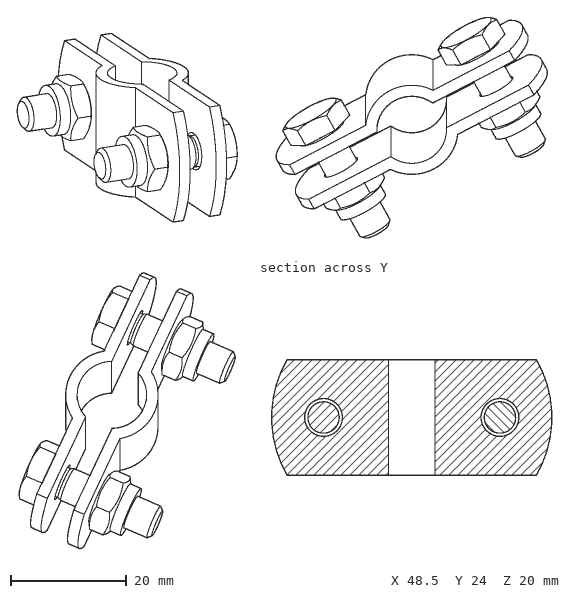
import cadquery as cq
import math


clamp_length = 48.5
clamp_height = 20.0
sheet_thickness = 2.0
bore_radius = 6.0
end_radius = 20.0
gap = 5.0
bolt_hole_diameter = 6.5
bolt_spacing = 30.5

flange_inner = gap / 2
flange_outer = flange_inner + sheet_thickness
saddle_radius = bore_radius + sheet_thickness

hex_across_flats = 10.0
hex_corner_radius = hex_across_flats / math.sqrt(3)
chamfer_slope = math.tan(math.radians(30))
chamfer_blank_radius = hex_corner_radius + 1.0

thread_diameter = 6.0
bolt_length = 20.0
head_height = 4.0
washer_face_height = 0.5
washer_face_diameter = 8.7
head_top_diameter = 9.9
neck_diameter = 5.46
neck_length = 2.4
neck_taper_end = 3.0
tip_chamfer = 0.65

nut_height = 6.0
nut_hex_height = 4.0
nut_seat_diameter = 8.9
collar_diameter = 8.9


def turned(profile):
    """Solid of revolution about Z from a closed (radius, height) profile."""
    return cq.Workplane("XZ").polyline(profile).close().revolve(360, (0, 0), (0, 1))


def hexagon(height, flat_diameter):
    """Hexagon on Z = 0 with corners on the X axis; the top is chamfered down from a flat circle."""
    flat_radius = flat_diameter / 2
    cone_height = height - (chamfer_blank_radius - flat_radius) * chamfer_slope
    prism = cq.Workplane("XY").polygon(6, 2 * hex_corner_radius).extrude(height)
    blank = turned([
        (0, 0),
        (chamfer_blank_radius, 0),
        (chamfer_blank_radius, cone_height),
        (flat_radius, height),
        (0, height),
    ])
    return prism.intersect(blank)


def make_clamp_half():
    """Half on the +Y side: two flat flanges joined by a half-round saddle."""
    half_length = clamp_length / 2
    saddle_edge = math.sqrt(saddle_radius**2 - flange_outer**2)
    bore_edge = math.sqrt(bore_radius**2 - flange_inner**2)
    strip = (
        cq.Workplane("XY")
        .workplane(offset=-clamp_height / 2)
        .moveTo(-half_length, flange_inner)
        .lineTo(-bore_edge, flange_inner)
        .threePointArc((0, bore_radius), (bore_edge, flange_inner))
        .lineTo(half_length, flange_inner)
        .lineTo(half_length, flange_outer)
        .lineTo(saddle_edge, flange_outer)
        .threePointArc((0, saddle_radius), (-saddle_edge, flange_outer))
        .lineTo(-half_length, flange_outer)
        .close()
        .extrude(clamp_height)
    )

    half_height = clamp_height / 2
    shoulder = half_length - end_radius + math.sqrt(end_radius**2 - half_height**2)
    rounded_outline = (
        cq.Workplane("XZ")
        .moveTo(-shoulder, -half_height)
        .lineTo(shoulder, -half_height)
        .threePointArc((half_length, 0), (shoulder, half_height))
        .lineTo(-shoulder, half_height)
        .threePointArc((-half_length, 0), (-shoulder, -half_height))
        .close()
        .extrude(-saddle_radius)
    )
    bolt_holes = (
        cq.Workplane("XZ")
        .pushPoints([(-bolt_spacing / 2, 0), (bolt_spacing / 2, 0)])
        .circle(bolt_hole_diameter / 2)
        .extrude(-saddle_radius)
    )
    return strip.intersect(rounded_outline).cut(bolt_holes)


def make_bolt():
    """Bolt along Z with the seat under its head at Z = 0 and its tip at -bolt_length."""
    thread_radius = thread_diameter / 2
    neck_radius = neck_diameter / 2
    shank = turned([
        (0, 0),
        (neck_radius, 0),
        (neck_radius, -neck_length),
        (thread_radius, -neck_taper_end),
        (thread_radius, -bolt_length + tip_chamfer),
        (thread_radius - tip_chamfer, -bolt_length),
        (0, -bolt_length),
    ])
    washer_face = cq.Workplane("XY").circle(washer_face_diameter / 2).extrude(washer_face_height)
    head = hexagon(head_height - washer_face_height, head_top_diameter)
    head = head.translate((0, 0, washer_face_height))
    return shank.union(washer_face).union(head)


def make_nut():
    """Nut along Z with its seat at Z = 0 and its collar towards -Z."""
    seat_end = hexagon(nut_hex_height, nut_seat_diameter).translate((0, 0, -nut_hex_height))
    collar_end = hexagon(nut_hex_height, collar_diameter).mirror("XY")
    collar = (
        cq.Workplane("XY")
        .workplane(offset=-nut_height)
        .circle(collar_diameter / 2)
        .extrude(nut_height - nut_hex_height)
    )
    bore = cq.Workplane("XY").circle(thread_diameter / 2).extrude(-nut_height)
    return seat_end.intersect(collar_end).union(collar).cut(bore)


def place_along_y(fastener, x, seat):
    """Turn a fastener's Z axis onto Y and set its seat at the given position."""
    return fastener.rotate((0, 0, 0), (1, 0, 0), -90).translate((x, seat, 0))


back_half = make_clamp_half()
front_half = back_half.mirror("XZ")

bolts = []
nuts = []
for x in (-bolt_spacing / 2, bolt_spacing / 2):
    bolts.append(place_along_y(make_bolt(), x, flange_outer).val())
    nuts.append(place_along_y(make_nut(), x, -flange_outer).val())

result = cq.Compound.makeCompound([back_half.val(), front_half.val(), *bolts, *nuts])